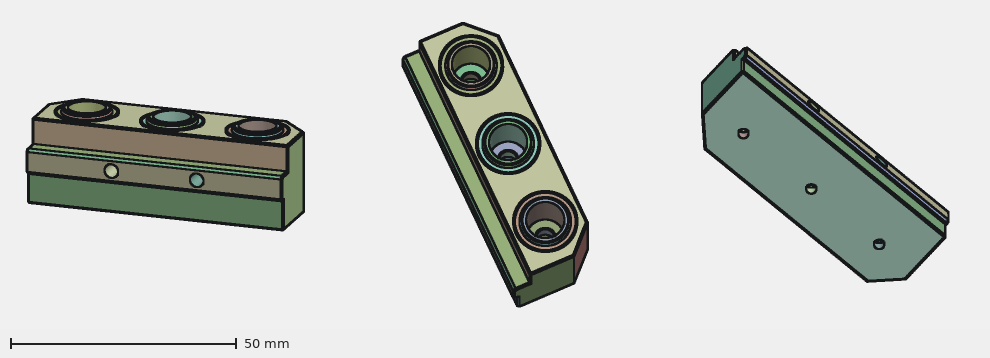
import cadquery as cq

length = 60.0
depth = 20.75
overall_height = 20.0
boss_height = 1.0
block_top = overall_height - boss_height

upper_setback = 4.0
lower_setback = 1.1
ledge_bottom = 7.0
ledge_top = 12.95
ledge_chamfer = 0.65
edge_chamfer = 0.35
corner_cut = 6.0

bushing_count = 3
bushing_pitch = length / bushing_count
bushing_rear_offset = 8.5
bushing_y = depth - bushing_rear_offset
groove_diameter = 14.3
groove_depth = 0.3
groove_outer_run = 0.1
groove_inner_run = 0.3
cone_base_diameter = 11.45
rim_diameter = 10.45
rim_chamfer = 0.2

bore_diameter = 8.45
bore_floor = 8.0
step_diameter = 4.1
step_floor = 4.0
through_diameter = 2.3
hole_chamfer = 0.25

pin_diameter = 3.2
pin_z = (ledge_bottom + ledge_top) / 2

groove_radius = groove_diameter / 2
cone_base_radius = cone_base_diameter / 2
rim_radius = rim_diameter / 2
cone_top = block_top + cone_base_radius - rim_radius


def stepped_block():
    """Ledged section along X, with the rear corners cut and the outer edges broken."""
    section = [
        (lower_setback, 0),
        (depth, 0),
        (depth, block_top),
        (upper_setback, block_top),
        (upper_setback, ledge_top),
        (0, ledge_top),
        (0, ledge_bottom),
        (lower_setback, ledge_bottom),
    ]
    block = cq.Workplane("YZ").polyline(section).close().extrude(length / 2, both=True)
    block = block.edges("|Z and >Y").chamfer(corner_cut)
    block = block.edges("|X and <Y").chamfer(ledge_chamfer)

    end_faces = block.faces("<X or >X")
    front_uprights = end_faces.edges("|Z").edges("not >Y")
    end_profiles = end_faces.edges("not |Z")
    top_and_base = block.faces("<Z or >Z").edges()
    broken_edges = front_uprights.add(end_profiles).add(top_and_base)
    return block.newObject(broken_edges.vals()).chamfer(edge_chamfer)


def revolve_profile(profile):
    """Turn an (r, z) outline around the Z axis."""
    return cq.Workplane("XZ").polyline(profile).close().revolve(360, (0, 0), (0, 1))


def parting_groove():
    """V-groove in the top face around the bushing flange."""
    return revolve_profile([
        (groove_radius, block_top),
        (groove_radius - groove_outer_run, block_top - groove_depth),
        (groove_radius - groove_outer_run - groove_inner_run, block_top),
    ])


def bushing_boss():
    """Conical shoulder and chamfered rim standing on the block."""
    return revolve_profile([
        (0, 0),
        (cone_base_radius, 0),
        (cone_base_radius, block_top),
        (rim_radius, cone_top),
        (rim_radius, overall_height - rim_chamfer),
        (rim_radius - rim_chamfer, overall_height),
        (0, overall_height),
    ])


def bushing_hole():
    """Bore, smaller step and through hole; both smaller mouths are chamfered."""
    bore_radius = bore_diameter / 2
    step_radius = step_diameter / 2
    through_radius = through_diameter / 2
    return revolve_profile([
        (0, 0),
        (through_radius, 0),
        (through_radius, step_floor - hole_chamfer),
        (through_radius + hole_chamfer, step_floor),
        (step_radius, step_floor),
        (step_radius, bore_floor - hole_chamfer),
        (step_radius + hole_chamfer, bore_floor),
        (bore_radius, bore_floor),
        (bore_radius, overall_height),
        (0, overall_height),
    ])


def pin_hole(x):
    """Round hole through the block along Y."""
    return cq.Workplane("XZ").center(x, pin_z).circle(pin_diameter / 2).extrude(-depth)


result = stepped_block()

for index in range(bushing_count):
    position = ((index - (bushing_count - 1) / 2) * bushing_pitch, bushing_y, 0)
    result = result.cut(parting_groove().translate(position))
    result = result.union(bushing_boss().translate(position))
    result = result.cut(bushing_hole().translate(position))

for side in (-1, 1):
    result = result.cut(pin_hole(side * bushing_pitch / 2))